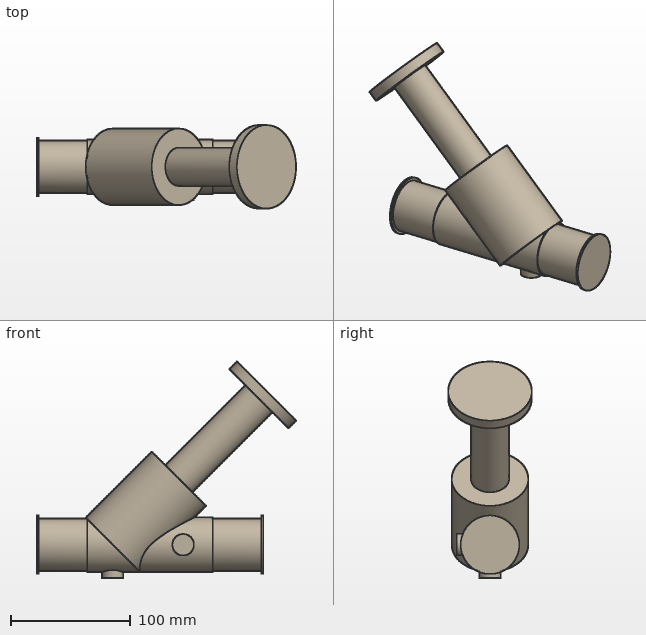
import cadquery as cq

pipe_length = 189.0
pipe_diameter = 44.0
rim_diameter = 49.0
rim_thickness = 1.7

body_start = 42.0
body_length = 104.8
body_diameter = 46.0

branch_start = 63.5
branch_direction = (1, 0, 1)
branch_length = 181.5
bonnet_diameter = 64.0
bonnet_length = 78.0
stem_diameter = 32.0
wheel_diameter = 70.0
wheel_thickness = 9.0

port_diameter = 18.0
port_reach = 28.0
bottom_port_x = 63.2
front_port_x = 122.0


def rod(start, direction, diameter, length):
    """Solid cylinder from a start point along a direction."""
    return cq.Workplane(
        cq.Solid.makeCylinder(diameter / 2, length, cq.Vector(*start), cq.Vector(*direction))
    )


def pipe_section(start_x, diameter, length):
    """Cylinder on the pipe axis."""
    return rod((start_x, 0, 0), (1, 0, 0), diameter, length)


def branch_section(distance, diameter, length):
    """Cylinder on the branch axis, beginning at a distance from the branch start."""
    axis = cq.Vector(*branch_direction).normalized()
    start = cq.Vector(branch_start, 0, 0) + axis * distance
    return rod(start.toTuple(), branch_direction, diameter, length)


result = pipe_section(0, pipe_diameter, pipe_length)
result = result.union(pipe_section(body_start, body_diameter, body_length))
for rim_start in (0, pipe_length - rim_thickness):
    result = result.union(pipe_section(rim_start, rim_diameter, rim_thickness))

wheel_start = branch_length - wheel_thickness
stem_length = wheel_start - bonnet_length
result = result.union(branch_section(0, bonnet_diameter, bonnet_length))
result = result.union(branch_section(bonnet_length, stem_diameter, stem_length))
result = result.union(branch_section(wheel_start, wheel_diameter, wheel_thickness))

for port_x, port_direction in ((bottom_port_x, (0, 0, -1)), (front_port_x, (0, -1, 0))):
    result = result.union(rod((port_x, 0, 0), port_direction, port_diameter, port_reach))